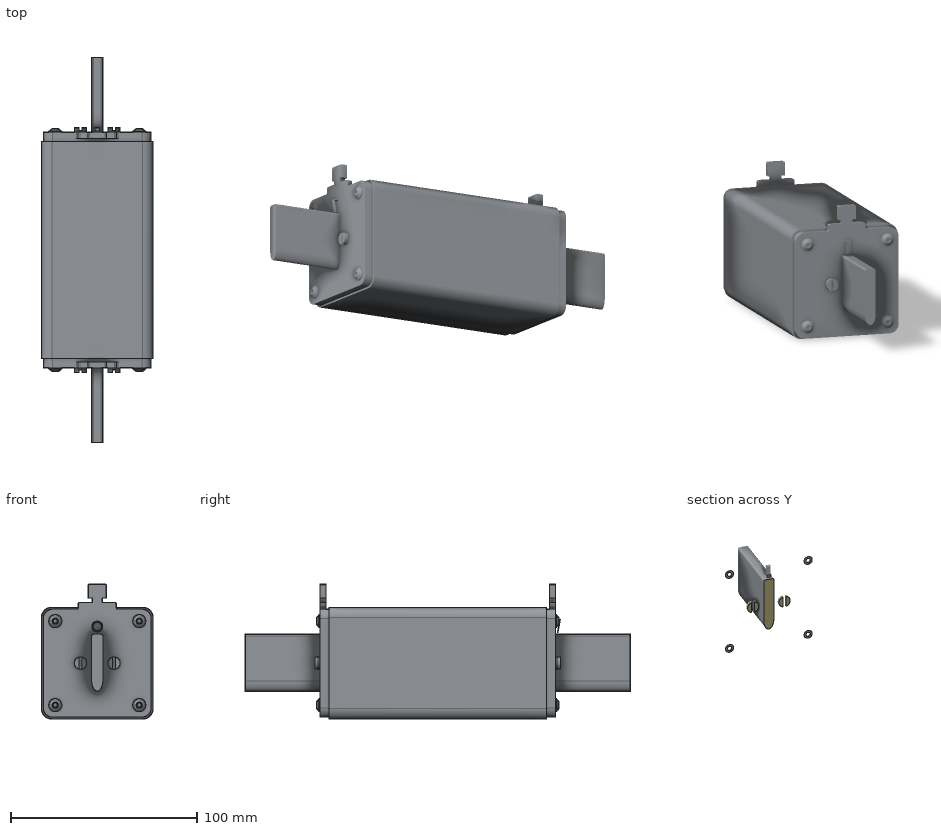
import cadquery as cq
import math

total_length = 207.0
body_side = 60.0
body_length = 116.7
body_corner = 5.5

plate_side = 58.0
plate_thickness = 5.0
plate_corner = 5.0
plate_face = body_length / 2 + plate_thickness

blade_thickness = 6.0
blade_top = 15.5
blade_bottom = -15.1
blade_nose = 5.5
blade_edge_radius = 1.0
blade_length = (total_length - body_length) / 2

lug_thickness = 3.3
shoulder_width = 20.5
shoulder_top = 32.7
neck_width = 5.5
head_width = 9.7
head_bottom = 35.0
lug_top = 42.5
lug_radius = 1.0
head_radius = 0.6

corner_screw_pitch = 45.1
dome_radius = 3.5
dome_rim = 0.5
dome_height = 1.9
dome_flat_radius = 1.7
dome_shoulder_radius = 3.0
dome_shoulder_height = 0.8
dome_mid_radius = 2.3
dome_mid_height = 1.5
socket_width = 2.5
socket_depth = 1.0

slot_screw_pitch = 18.0
slot_screw_radius = 3.3
slot_screw_height = 2.5
slot_width = 1.5
slot_depth = 1.5

indicator_height = 19.7
recess_radius = 2.3
recess_depth = 2.5
recess_chamfer = 0.6
tongue_width = 2.5
tongue_top = 23.4
tongue_bottom = 16.4
tongue_reach_top = 2.5
tongue_reach_bottom = 1.2
tongue_thickness = 0.31


def end_plane(y):
    """Plane across the part at y, with local x along +X, y along +Z and its normal along -Y."""
    return cq.Workplane("XZ", origin=(0, y, 0))


def rounded_block(side, length, corner):
    block = cq.Workplane("XY").box(side, length, side)
    return block.edges("|Y").fillet(corner)


def blade():
    """Blade with lightly rounded top edges and a half-ellipse along its bottom."""
    nose_start = blade_bottom + blade_nose
    height = blade_top - nose_start
    bar = (
        end_plane(-body_length / 2)
        .center(0, nose_start + height / 2)
        .rect(blade_thickness, height)
        .extrude(blade_length)
        .edges("|Y and >Z")
        .fillet(blade_edge_radius)
    )
    nose = (
        end_plane(-body_length / 2)
        .center(0, nose_start)
        .ellipse(blade_thickness / 2, blade_nose)
        .extrude(blade_length)
    )
    return bar.union(nose)


def grip_lug():
    """Lug flush with the outer face of the end plate, rising from its top edge."""
    plate_top = plate_side / 2
    shoulder_half = shoulder_width / 2
    neck_half = neck_width / 2
    head_half = head_width / 2
    root_end = shoulder_half + lug_radius
    root_shift = lug_radius * (1 - math.cos(math.radians(45)))
    root_middle = (shoulder_half + root_shift, plate_top + root_shift)
    half = (
        end_plane(lug_thickness - plate_face)
        .moveTo(0, plate_top - lug_radius)
        .lineTo(root_end, plate_top - lug_radius)
        .lineTo(root_end, plate_top)
        .threePointArc(root_middle, (shoulder_half, plate_top + lug_radius))
        .lineTo(shoulder_half, shoulder_top)
        .lineTo(neck_half, shoulder_top)
        .lineTo(neck_half, head_bottom)
        .lineTo(head_half, head_bottom)
        .lineTo(head_half, lug_top)
        .lineTo(0, lug_top)
        .close()
        .extrude(lug_thickness)
    )
    middle_y = lug_thickness / 2 - plate_face
    shoulder_corner = cq.NearestToPointSelector((shoulder_half, middle_y, shoulder_top))
    head_corner = cq.NearestToPointSelector((head_half, middle_y, lug_top))
    half = half.edges(shoulder_corner).fillet(lug_radius)
    half = half.edges(head_corner).fillet(head_radius)
    return half.union(half.mirror("YZ"))


def domed_screw(x, z):
    """Round screw head standing on the end plate, with a hexagon socket."""
    profile = (
        cq.Workplane("XY")
        .lineTo(dome_radius, 0)
        .lineTo(dome_radius, -dome_rim)
        .lineTo(dome_shoulder_radius, -dome_shoulder_height)
        .threePointArc((dome_mid_radius, -dome_mid_height), (dome_flat_radius, -dome_height))
        .lineTo(0, -dome_height)
        .close()
    )
    head = profile.revolve(360, (0, 0, 0), (0, 1, 0))
    socket = end_plane(socket_depth - dome_height).polygon(6, socket_width).extrude(socket_depth)
    return head.cut(socket).translate((x, -plate_face, z))


def slotted_screw(x):
    """Cylindrical screw head with an upright slot."""
    head = end_plane(0).circle(slot_screw_radius).extrude(slot_screw_height)
    slot = (
        end_plane(slot_depth - slot_screw_height)
        .rect(slot_width, 2 * slot_screw_radius)
        .extrude(slot_depth)
    )
    return head.cut(slot).translate((x, -plate_face, 0))


def end_fittings():
    """Everything the two ends share, placed at the -Y end."""
    fittings = blade().union(grip_lug())
    half_pitch = corner_screw_pitch / 2
    for x in (-half_pitch, half_pitch):
        for z in (-half_pitch, half_pitch):
            fittings = fittings.union(domed_screw(x, z))
    for x in (-slot_screw_pitch / 2, slot_screw_pitch / 2):
        fittings = fittings.union(slotted_screw(x))
    return fittings


def indicator_recess():
    """Countersunk blind hole cut into the -Y plate."""
    hole = (
        end_plane(recess_depth - plate_face)
        .center(0, indicator_height)
        .circle(recess_radius)
        .extrude(recess_depth)
    )
    countersink = (
        end_plane(-plate_face)
        .center(0, indicator_height)
        .circle(recess_radius + recess_chamfer)
        .workplane(offset=-recess_chamfer)
        .circle(recess_radius)
        .loft()
    )
    return hole.union(countersink)


def indicator_tongue():
    """Thin strip leaving the +Y plate at its top and hanging free at its bottom."""
    outer_top = plate_face + tongue_reach_top
    outer_bottom = plate_face + tongue_reach_bottom
    profile = [
        (plate_face, tongue_top),
        (outer_top, tongue_top),
        (outer_bottom, tongue_bottom),
        (outer_bottom - tongue_thickness, tongue_bottom),
        (outer_top - tongue_thickness, tongue_top - tongue_thickness),
        (plate_face, tongue_top - tongue_thickness),
    ]
    return cq.Workplane("YZ").polyline(profile).close().extrude(tongue_width / 2, both=True)


body = rounded_block(body_side, body_length, body_corner)
plates = rounded_block(plate_side, 2 * plate_face, plate_corner)
front_end = end_fittings()
back_end = front_end.mirror("XZ")

result = (
    body.union(plates)
    .union(front_end)
    .union(back_end)
    .cut(indicator_recess())
    .union(indicator_tongue())
)